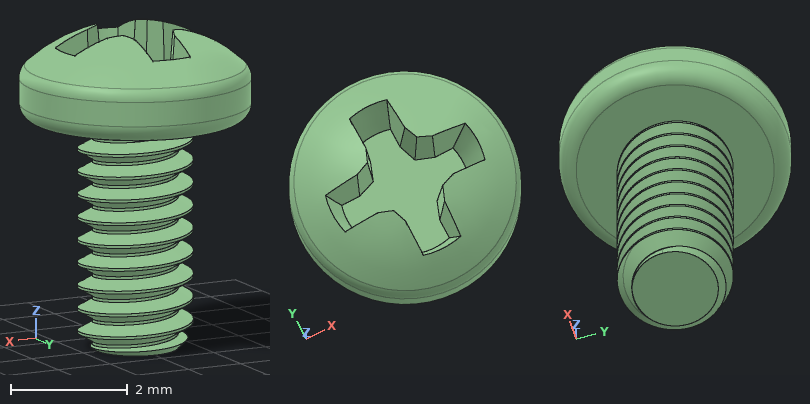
import cadquery as cq
import math


head_radius = 2.0
underside_z = 4.0
under_fillet = 0.305
side_top_z = underside_z + 0.73
shoulder_fillet = 0.3
dome_apex_z = underside_z + 1.695

recess_floor_z = underside_z + 0.25
floor_half_width = 0.285
mouth_half_width = 0.385
floor_knee = 0.405
mouth_knee = 0.48
shoulder_reach = 0.73
floor_tip_radius = 1.115
mouth_tip_radius = 1.505

thread_radius = 1.0
root_radius = 0.74
pitch = 0.4
crest_flat = pitch / 8
crest_z_at_x_axis = 0.315
flank_angle = math.radians(30)
root_overlap = 0.01
end_chamfer = thread_radius - root_radius


def make_head():
    """Revolve the head profile, with the shoulder fillet tangent to the dome."""
    fillet_x = head_radius - shoulder_fillet
    reach = dome_apex_z - shoulder_fillet
    dome_centre_z = (reach**2 - fillet_x**2 - side_top_z**2) / (2 * (reach - side_top_z))
    dome_radius = dome_apex_z - dome_centre_z
    tangent_angle = math.atan2(side_top_z - dome_centre_z, fillet_x)

    def on_dome(angle):
        return (dome_radius * math.cos(angle), dome_centre_z + dome_radius * math.sin(angle))

    shoulder_middle = (
        fillet_x + shoulder_fillet * math.cos(tangent_angle / 2),
        side_top_z + shoulder_fillet * math.sin(tangent_angle / 2),
    )
    under_middle = (
        head_radius - under_fillet * (1 - math.sqrt(0.5)),
        underside_z + under_fillet * (1 - math.sqrt(0.5)),
    )
    return (
        cq.Workplane("XZ")
        .moveTo(0, underside_z)
        .lineTo(head_radius - under_fillet, underside_z)
        .threePointArc(under_middle, (head_radius, underside_z + under_fillet))
        .lineTo(head_radius, side_top_z)
        .threePointArc(shoulder_middle, on_dome(tangent_angle))
        .threePointArc(on_dome((tangent_angle + math.pi / 2) / 2), (0, dome_apex_z))
        .close()
        .revolve(360, (0, 0, 0), (0, 1, 0))
    )


def cross_outline(half_width, knee, reach):
    """Cross with a two-facet inner corner in each quadrant, as a list of points."""
    quadrant = [
        (reach, -half_width),
        (reach, half_width),
        (shoulder_reach, half_width),
        (knee, knee),
        (half_width, shoulder_reach),
    ]
    points = []
    for _ in range(4):
        points += quadrant
        quadrant = [(-y, x) for x, y in quadrant]
    return points


def make_recess():
    """Tapered cross, its arm tips trimmed by a cone."""
    depth = dome_apex_z - recess_floor_z
    cross = (
        cq.Workplane("XY", origin=(0, 0, recess_floor_z))
        .polyline(cross_outline(floor_half_width, floor_knee, mouth_tip_radius))
        .close()
        .workplane(offset=depth)
        .polyline(cross_outline(mouth_half_width, mouth_knee, mouth_tip_radius))
        .close()
        .loft(ruled=True)
    )
    tip_cone = (
        cq.Workplane("XY", origin=(0, 0, recess_floor_z))
        .circle(floor_tip_radius)
        .workplane(offset=depth)
        .circle(mouth_tip_radius)
        .loft(ruled=True)
    )
    return cross.intersect(tip_cone)


def make_shank():
    """Core with a right-handed V ridge, trimmed to length and chamfered at the end."""
    start_z = crest_z_at_x_axis - 2 * pitch
    inner_radius = root_radius - root_overlap
    half_crest = crest_flat / 2
    half_base = half_crest + (thread_radius - inner_radius) * math.tan(flank_angle)
    helix_height = underside_z + pitch - start_z
    helix = cq.Wire.makeHelix(pitch, helix_height, inner_radius).translate(cq.Vector(0, 0, start_z))
    ridge = (
        cq.Workplane("XZ")
        .polyline([
            (inner_radius, start_z - half_base),
            (thread_radius, start_z - half_crest),
            (thread_radius, start_z + half_crest),
            (inner_radius, start_z + half_base),
        ])
        .close()
        .sweep(cq.Workplane(obj=helix), isFrenet=True)
    )
    envelope = (
        cq.Workplane("XY")
        .circle(thread_radius + root_overlap)
        .extrude(underside_z)
        .faces("<Z")
        .chamfer(end_chamfer + root_overlap)
    )
    core = cq.Workplane("XY").circle(root_radius).extrude(underside_z)
    return core.union(ridge.intersect(envelope))


result = make_head().cut(make_recess()).union(make_shank())